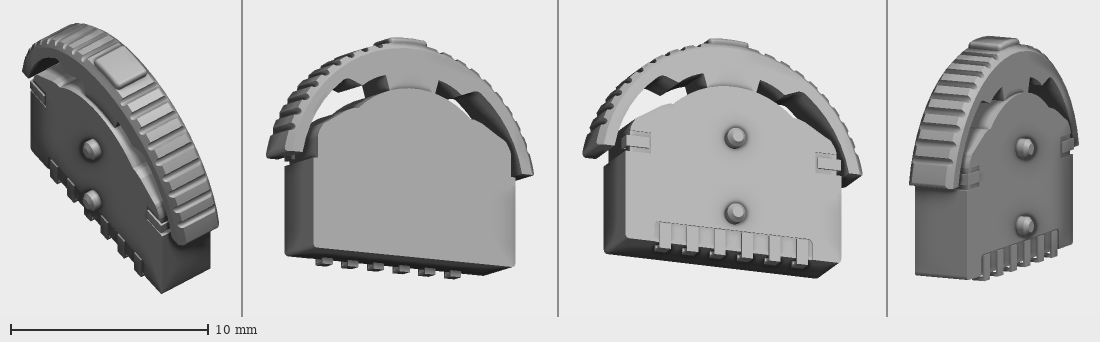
import cadquery as cq
import math

wheel_radius = 7.4
wheel_width = 2.51
wheel_chamfer = 0.3
rim_inner_radius = 6.51
rim_end_z = 1.2
rim_end_fillet = 0.17

web_root_x = 1.22
web_root_z = 4.5
web_corner_x = 1.54
web_corner_z = 5.6
web_step_x = 2.89
web_step_z = 4.94
web_shoulder_x = 3.8
web_shoulder_fillet = 0.5

groove_radius = 0.2
groove_count = 9
groove_pitch_angle = 7.0
first_groove_angle = 14.0

pad_top_radius = 7.7
pad_length = 2.21
pad_width = wheel_width - 2 * wheel_chamfer
pad_corner_fillet = 0.2
pad_top_fillet = 0.19

housing_half_width = 5.88
housing_depth = 2.96
housing_bottom_z = -3.68
housing_fillet = 0.2
front_y = -housing_depth / 2
ledge_z = 0.95
neck_half_width = 5.64
neck_top_z = 2.05
neck_arc = (5.56, 2.31)
shoulder_bottom = (5.4, 2.59)
shoulder_arc = (5.29, 2.75)
shoulder_top = (5.15, 2.83)
slope_bottom = (4.88, 2.98)
slope_top = (3.94, 3.55)
crown_foot = (3.5, 3.7)
crown_start_x = 3.27
crown_radius = 4.8
crown_center_z = 0.2

pin_spacing = 4.0
pin_mid_z = crown_center_z
pin_radius = 0.5
pin_length = 0.64
pin_chamfer = 0.2

sheet = 0.1
recess_depth = 0.051
strip_return = 0.7
strip_front_y = front_y + recess_depth - sheet

terminal_count = 6
terminal_pitch = 1.5
terminal_width = 0.61
terminal_top_z = -2.67
terminal_bottom_z = -4.0
terminal_recess_width = 8.63
terminal_recess_top_z = -2.6
terminal_recess_fillet = 0.25

clip_outer_x = 5.85
clip_inner_x = 4.6
clip_bottom_z = rim_end_z
clip_top_z = 1.77
clip_recess_inner_x = 4.49


def on_circle(radius, x):
    """Height above its centre of the point on a circle at sideways distance x."""
    return math.sqrt(radius**2 - x**2)


def box_between(x_range, y_range, z_range):
    """Box given by its limits along each axis."""
    (x0, x1), (y0, y1), (z0, z1) = x_range, y_range, z_range
    return cq.Workplane("XY").box(x1 - x0, y1 - y0, z1 - z0, centered=False).translate((x0, y0, z0))


def disc(radius):
    """Disc of the wheel's width about the wheel axis."""
    return cq.Workplane("XZ").circle(radius).extrude(wheel_width / 2, both=True)


def mirrored(half):
    """A feature together with its mirror image across X = 0."""
    return half.union(half.mirror("YZ"))


def make_wheel():
    outer_x = on_circle(wheel_radius, rim_end_z)
    inner_x = on_circle(rim_inner_radius, rim_end_z)
    shoulder_top_z = on_circle(rim_inner_radius, web_shoulder_x)
    diagonal = math.sqrt(0.5)
    window_radius = math.hypot(web_corner_x, web_corner_z)
    window_mid_x = (web_corner_x + web_step_x) / 2

    half = (
        cq.Workplane("XZ", origin=(0, wheel_width / 2, 0))
        .moveTo(0, web_root_z)
        .lineTo(web_root_x, web_root_z)
        .lineTo(web_corner_x, web_corner_z)
        .threePointArc((window_mid_x, on_circle(window_radius, window_mid_x)), (web_step_x, web_step_z))
        .lineTo(web_shoulder_x, shoulder_top_z)
        .threePointArc((rim_inner_radius * diagonal, rim_inner_radius * diagonal), (inner_x, rim_end_z))
        .lineTo(outer_x, rim_end_z)
        .threePointArc((wheel_radius * diagonal, wheel_radius * diagonal), (0, wheel_radius))
        .close()
        .extrude(wheel_width)
    )
    shoulder_edge = cq.selectors.NearestToPointSelector((web_shoulder_x, 0, shoulder_top_z))
    end_edge = cq.selectors.NearestToPointSelector((outer_x, 0, rim_end_z))
    half = half.edges("|Y").edges(shoulder_edge).fillet(web_shoulder_fillet)
    half = half.edges("|Y").edges(end_edge).fillet(rim_end_fillet)

    chamfered_disc = disc(wheel_radius).edges().chamfer(wheel_chamfer)
    return mirrored(half).intersect(chamfered_disc)


def make_grooves():
    groove = (
        cq.Workplane("XZ", origin=(0, 0, wheel_radius))
        .circle(groove_radius)
        .extrude(wheel_width / 2, both=True)
    )
    right_grooves = cq.Workplane("XY")
    for index in range(groove_count):
        angle = first_groove_angle + index * groove_pitch_angle
        right_grooves = right_grooves.add(groove.rotate((0, 0, 0), (0, 1, 0), angle))
    return mirrored(right_grooves.combine())


def make_pad():
    half_length = pad_length / 2
    half_width = pad_width / 2
    block = box_between(
        (-half_length, half_length),
        (-half_width, half_width),
        (rim_inner_radius, pad_top_radius),
    )
    pad = block.intersect(disc(pad_top_radius))
    return pad.edges("|Z").fillet(pad_corner_fillet).faces(">Z").edges().fillet(pad_top_fillet)


def make_housing():
    crown_start_z = crown_center_z + on_circle(crown_radius, crown_start_x)
    half = (
        cq.Workplane("XZ", origin=(0, housing_depth / 2, 0))
        .moveTo(0, housing_bottom_z)
        .lineTo(housing_half_width, housing_bottom_z)
        .lineTo(housing_half_width, ledge_z)
        .lineTo(neck_half_width, ledge_z)
        .lineTo(neck_half_width, neck_top_z)
        .threePointArc(neck_arc, shoulder_bottom)
        .threePointArc(shoulder_arc, shoulder_top)
        .lineTo(*slope_bottom)
        .lineTo(*slope_top)
        .lineTo(*crown_foot)
        .lineTo(crown_start_x, crown_start_z)
        .threePointArc(
            (crown_start_x / 2, crown_center_z + on_circle(crown_radius, crown_start_x / 2)),
            (0, crown_center_z + crown_radius),
        )
        .close()
        .extrude(housing_depth)
    )
    return mirrored(half).edges("|Y and <Z").edges("<X or >X").fillet(housing_fillet)


def make_pins():
    return (
        cq.Workplane("XZ", origin=(0, front_y, pin_mid_z))
        .pushPoints([(0, -pin_spacing / 2), (0, pin_spacing / 2)])
        .circle(pin_radius)
        .extrude(pin_length)
        .faces("<Y")
        .chamfer(pin_chamfer)
    )


def make_terminal_recess():
    half_width = terminal_recess_width / 2
    recess = box_between(
        (-half_width, half_width),
        (front_y, front_y + recess_depth),
        (housing_bottom_z, terminal_recess_top_z),
    )
    return recess.edges("|Y and >Z").fillet(terminal_recess_fillet)


def make_clip_recesses():
    recess = box_between(
        (clip_recess_inner_x, housing_half_width),
        (front_y, front_y + recess_depth),
        (ledge_z, neck_top_z),
    )
    return mirrored(recess)


def bent_strip(tail, bend, body, width):
    """Strip lying on the front face from `tail`, wrapped past `body` out to `bend` and back to `body`.

    The hooked section is drawn in XY, running along +X, with its width rising along +Z.
    """
    inner_front = strip_front_y + sheet
    back = strip_front_y + strip_return
    section = [
        (tail, strip_front_y),
        (bend, strip_front_y),
        (bend, back),
        (body, back),
        (body, back - sheet),
        (bend - sheet, back - sheet),
        (bend - sheet, inner_front),
        (tail, inner_front),
    ]
    return cq.Workplane("XY").polyline(section).close().extrude(width)


def make_clips():
    clip = bent_strip(clip_inner_x, clip_outer_x, neck_half_width, clip_top_z - clip_bottom_z)
    return mirrored(clip.translate((0, 0, clip_bottom_z)))


def make_terminals():
    strip = bent_strip(-terminal_top_z, -terminal_bottom_z, -housing_bottom_z, terminal_width)
    terminal = strip.rotate((0, 0, 0), (0, 1, 0), 90).translate((-terminal_width / 2, 0, 0))
    first_x = -terminal_pitch * (terminal_count - 1) / 2
    terminals = cq.Workplane("XY")
    for index in range(terminal_count):
        terminals = terminals.add(terminal.translate((first_x + index * terminal_pitch, 0, 0)))
    return terminals.combine()


wheel = make_wheel().cut(make_grooves()).union(make_pad())
housing = make_housing().cut(make_terminal_recess()).cut(make_clip_recesses())

result = housing.union(wheel).union(make_pins()).union(make_clips()).union(make_terminals())